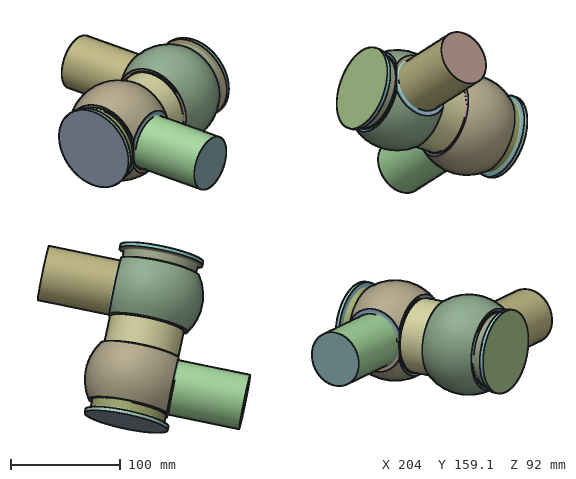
import cadquery as cq
import math

overall_x = 203.96
overall_y = 159.05

ball_radius = 46.0
ball_width = 52.8
ball_spacing = 79.4

neck_radius = 34.5
neck_fillet = 0.8

flange_radius = 38.75
flange_rim = 3.6
flange_slope = math.radians(20)
flange_fillet = 0.8

pipe_radius = 25.4
pipe_seat = 35.1
pipe_fillet = 1.4

pipe_end = overall_x / 2
body_end = overall_y / 2
ball_offset = ball_spacing / 2
ball_half_width = ball_width / 2
ball_inner_face = ball_offset - ball_half_width
ball_outer_face = ball_offset + ball_half_width


def arc_inset(fillet):
    """Distance of a quarter-round fillet's midpoint from each of its two tangent walls."""
    return fillet * (1 - math.sqrt(0.5))


def revolve_about_y(profile):
    """Turn a (radius, y) profile about the Y axis."""
    return profile.close().revolve(360, (0, 0, 0), (0, 1, 0))


def make_ball(side):
    """Ball truncated by flat faces across Y and by a flat pipe seat facing side * X."""
    face_radius = math.sqrt(ball_radius**2 - ball_half_width**2)
    ball = revolve_about_y(
        cq.Workplane("XY")
        .moveTo(0, -ball_half_width)
        .lineTo(face_radius, -ball_half_width)
        .threePointArc((ball_radius, 0), (face_radius, ball_half_width))
        .lineTo(0, ball_half_width)
    )
    beyond_seat = (
        cq.Workplane("XY")
        .box(ball_radius, ball_width, 2 * ball_radius)
        .translate((side * (pipe_seat + ball_radius / 2), 0, 0))
    )
    return ball.cut(beyond_seat)


def make_pipe(side):
    """Side pipe with a concave fillet where it leaves the seat, trimmed to the ball width."""
    root_radius = pipe_radius + pipe_fillet
    inset = arc_inset(pipe_fillet)
    profile = (
        cq.Workplane("XY")
        .lineTo(0, root_radius)
        .lineTo(side * pipe_seat, root_radius)
        .threePointArc(
            (side * (pipe_seat + inset), pipe_radius + inset),
            (side * (pipe_seat + pipe_fillet), pipe_radius),
        )
        .lineTo(side * pipe_end, pipe_radius)
        .lineTo(side * pipe_end, 0)
        .close()
    )
    pipe = profile.revolve(360, (0, 0, 0), (1, 0, 0))
    trim = cq.Workplane("XY").box(overall_x, ball_width, 2 * ball_radius)
    return pipe.intersect(trim)


def make_neck():
    """Neck joining the balls, with a small fillet against each ball face."""
    root_radius = neck_radius + neck_fillet
    inset = arc_inset(neck_fillet)
    return revolve_about_y(
        cq.Workplane("XY")
        .moveTo(0, -ball_inner_face)
        .lineTo(root_radius, -ball_inner_face)
        .threePointArc(
            (neck_radius + inset, inset - ball_inner_face),
            (neck_radius, neck_fillet - ball_inner_face),
        )
        .lineTo(neck_radius, ball_inner_face - neck_fillet)
        .threePointArc(
            (neck_radius + inset, ball_inner_face - inset),
            (root_radius, ball_inner_face),
        )
        .lineTo(0, ball_inner_face)
    )


def make_collar():
    """Collar on the +Y ball face ending in a clamp flange with a sloping back."""
    root_radius = neck_radius + neck_fillet
    inset = arc_inset(neck_fillet)
    rim_back = body_end - flange_rim
    slope_foot = rim_back - (flange_radius - neck_radius) * math.tan(flange_slope)

    half_turn = (math.pi / 2 - flange_slope) / 2
    tangent_length = flange_fillet * math.tan(half_turn)
    fillet_start = slope_foot - tangent_length
    fillet_middle = (
        neck_radius + flange_fillet * (1 - math.cos(half_turn)),
        fillet_start + flange_fillet * math.sin(half_turn),
    )
    fillet_end = (
        neck_radius + tangent_length * math.cos(flange_slope),
        slope_foot + tangent_length * math.sin(flange_slope),
    )
    return revolve_about_y(
        cq.Workplane("XY")
        .moveTo(0, ball_outer_face)
        .lineTo(root_radius, ball_outer_face)
        .threePointArc(
            (neck_radius + inset, ball_outer_face + inset),
            (neck_radius, ball_outer_face + neck_fillet),
        )
        .lineTo(neck_radius, fillet_start)
        .threePointArc(fillet_middle, fillet_end)
        .lineTo(flange_radius, rim_back)
        .lineTo(flange_radius, body_end)
        .lineTo(0, body_end)
    )


body = make_neck()
for side in (1, -1):
    ball_center = (0, -side * ball_offset, 0)
    body = body.union(make_ball(side).translate(ball_center))
    body = body.union(make_pipe(side).translate(ball_center))

collar = make_collar()
body = body.union(collar)
body = body.union(collar.mirror("XZ"))

result = body